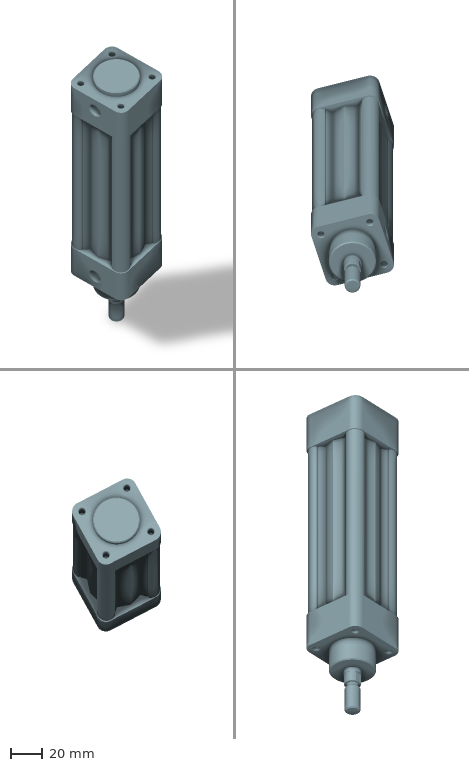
import cadquery as cq
import math


thread_length = 20.0
rod_length = 10.0
nose_length = 16.0
cap_length = 25.0
barrel_length = 124.0
rear_boss_length = 4.0

rod_end_z = thread_length
nose_z = rod_end_z + rod_length
front_cap_z = nose_z + nose_length
barrel_z = front_cap_z + cap_length
rear_cap_z = barrel_z + barrel_length
rear_face_z = rear_cap_z + cap_length

cap_width = 45.0
cap_corner_radius = 6.0
boss_diameter = 30.0
nose_chamfer = 0.7
rear_boss_chamfer = 0.7

port_diameter = 8.6
port_depth = 10.0
port_chamfer = 0.5
port_offset = 10.0

screw_pitch = 32.5
screw_diameter = 4.2
screw_depth = 12.0
screw_chamfer = 0.5

barrel_width = 44.0
pillar_radius = 6.0
pillar_center = barrel_width / 2 - pillar_radius
pillar_wall_x = 12.3
ledge_x = 11.6
wall_radius = 18.5
ridge_half_width = 5.0
gutter_start_x = 7.2
gutter_radius = 1.5
gutter_center_x = 8.1

rod_diameter = 11.0
collar_diameter = 11.5
flats_width = 10.0
flats_length = 7.0
rod_chamfer = 0.3
thread_diameter = 10.0
thread_chamfer = 0.8
relief_length = 2.2
relief_diameter = 8.0


def height_on_circle(radius, x):
    """Height of a circle about the origin at the given x."""
    return math.sqrt(radius**2 - x**2)


def make_port(face_z):
    """Cutter for a chamfered port running in along +Y from the -Y face."""
    face = cq.Workplane("XZ", origin=(0, -cap_width / 2, face_z))
    bore = face.circle(port_diameter / 2).extrude(-port_depth)
    mouth = face.circle(port_diameter / 2 + port_chamfer).extrude(-port_chamfer, taper=45)
    return bore.union(mouth)


def make_screw_holes():
    """Cutters for four chamfered blind holes below Z = 0."""
    face = cq.Workplane("XY").rect(screw_pitch, screw_pitch, forConstruction=True).vertices()
    bores = face.circle(screw_diameter / 2).extrude(-screw_depth)
    mouths = face.circle(screw_diameter / 2 + screw_chamfer).extrude(-screw_chamfer, taper=45)
    return bores.union(mouths)


def make_cap_block(bottom_z):
    """Square block with rounded upright corners."""
    block = cq.Workplane("XY", origin=(0, 0, bottom_z)).rect(cap_width, cap_width).extrude(cap_length)
    return block.edges("|Z").fillet(cap_corner_radius)


def make_front_cap():
    nose = cq.Workplane("XY", origin=(0, 0, nose_z)).circle(boss_diameter / 2).extrude(nose_length)
    nose = nose.faces("<Z").edges().chamfer(nose_chamfer)
    screw_holes = make_screw_holes().rotate((0, 0, 0), (1, 0, 0), 180).translate((0, 0, front_cap_z))
    cap = make_cap_block(front_cap_z).union(nose)
    return cap.cut(screw_holes).cut(make_port(front_cap_z + port_offset))


def make_rear_cap():
    boss = cq.Workplane("XY", origin=(0, 0, rear_face_z)).circle(boss_diameter / 2).extrude(rear_boss_length)
    boss = boss.faces(">Z").edges().chamfer(rear_boss_chamfer)
    screw_holes = make_screw_holes().translate((0, 0, rear_face_z))
    cap = make_cap_block(rear_cap_z).union(boss)
    return cap.cut(screw_holes).cut(make_port(rear_face_z - port_offset))


def turn(point, quarter):
    """Turn a point of the +Y wall clockwise by a number of quarter turns."""
    x, y = point
    angle = -quarter * math.pi / 2
    return (
        x * math.cos(angle) - y * math.sin(angle),
        x * math.sin(angle) + y * math.cos(angle),
    )


def make_barrel():
    ridge_end = (ridge_half_width, height_on_circle(wall_radius, ridge_half_width))
    ridge_top = (0, wall_radius**2 / ridge_end[1])
    wall_middle_x = (ridge_half_width + gutter_start_x) / 2
    wall_middle = (wall_middle_x, height_on_circle(wall_radius, wall_middle_x))
    gutter_start = (gutter_start_x, height_on_circle(wall_radius, gutter_start_x))
    gutter_center_y = gutter_start[1] + height_on_circle(gutter_radius, gutter_center_x - gutter_start_x)
    gutter_bottom = (gutter_center_x, gutter_center_y - gutter_radius)
    flank_step = gutter_radius * math.sqrt(0.5)
    flank_foot = (gutter_center_x + flank_step, gutter_center_y - flank_step)
    ledge_start = (ledge_x, flank_foot[1] + ledge_x - flank_foot[0])
    ledge_end = (pillar_wall_x, ledge_start[1])
    pillar_height = height_on_circle(pillar_radius, pillar_center - pillar_wall_x)
    pillar_edge = (pillar_wall_x, pillar_center + pillar_height)
    pillar_tip = pillar_center + pillar_radius * math.sqrt(0.5)

    profile = cq.Workplane("XY", origin=(0, 0, barrel_z)).moveTo(*ridge_top)
    for quarter in range(4):

        def near(point):
            """The point in the half wall before this corner."""
            return turn(point, quarter)

        def far(point):
            """The point mirrored across the corner diagonal, in the half wall after this corner."""
            return turn((point[1], point[0]), quarter)

        profile = (
            profile.lineTo(*near(ridge_end))
            .threePointArc(near(wall_middle), near(gutter_start))
            .threePointArc(near(gutter_bottom), near(flank_foot))
            .lineTo(*near(ledge_start))
            .lineTo(*near(ledge_end))
            .lineTo(*near(pillar_edge))
            .threePointArc(near((pillar_tip, pillar_tip)), far(pillar_edge))
            .lineTo(*far(ledge_end))
            .lineTo(*far(ledge_start))
            .lineTo(*far(flank_foot))
            .threePointArc(far(gutter_bottom), far(gutter_start))
            .threePointArc(far(wall_middle), far(ridge_end))
        )
        if quarter < 3:
            profile = profile.lineTo(*far(ridge_top))
    return profile.close().extrude(barrel_length)


def make_piston_rod():
    rod_radius = rod_diameter / 2
    thread_radius = thread_diameter / 2
    relief_radius = relief_diameter / 2
    relief_z = thread_length - relief_length
    thread_shoulder_z = relief_z - (thread_radius - relief_radius)
    collar_z = rod_end_z + flats_length
    rod = (
        cq.Workplane("XZ")
        .lineTo(thread_radius - thread_chamfer, 0)
        .lineTo(thread_radius, thread_chamfer)
        .lineTo(thread_radius, thread_shoulder_z)
        .lineTo(relief_radius, relief_z)
        .lineTo(relief_radius, rod_end_z)
        .lineTo(rod_radius - rod_chamfer, rod_end_z)
        .lineTo(rod_radius, rod_end_z + rod_chamfer)
        .lineTo(rod_radius, collar_z)
        .lineTo(collar_diameter / 2, collar_z)
        .lineTo(collar_diameter / 2, nose_z)
        .lineTo(0, nose_z)
        .close()
        .revolve(360, (0, 0, 0), (0, 1, 0))
    )
    for side in (-1, 1):
        offset = side * (flats_width + rod_diameter) / 2
        flat = cq.Workplane("XY", origin=(0, offset, rod_end_z)).rect(2 * rod_diameter, rod_diameter)
        rod = rod.cut(flat.extrude(flats_length))
    return rod


front_cap = make_front_cap()
rear_cap = make_rear_cap()
barrel = make_barrel()
piston_rod = make_piston_rod()

result = cq.Compound.makeCompound([front_cap.val(), barrel.val(), rear_cap.val(), piston_rod.val()])